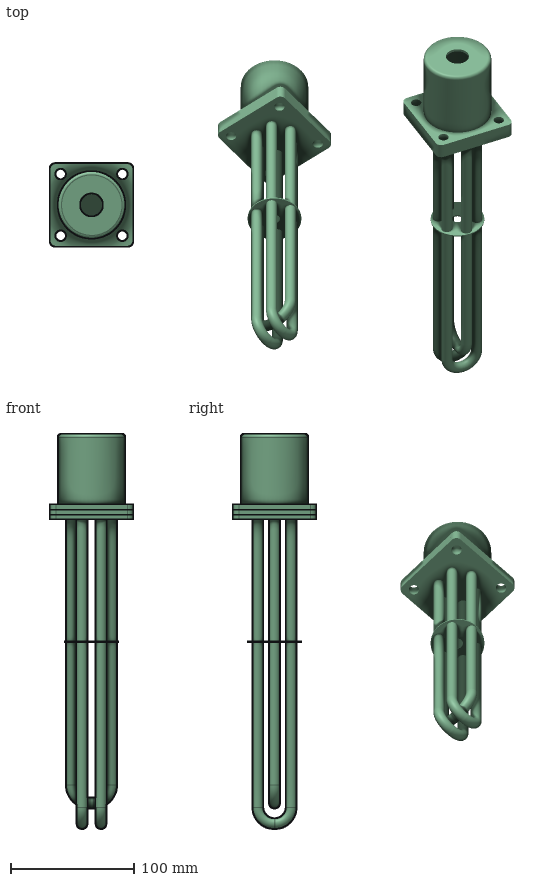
import cadquery as cq

TOTAL_HEIGHT = 321.5
FLANGE_SIDE = 68.0

FLANGE_CORNER_RADIUS = 4.8
BOLT_HOLE_PITCH = 50.0
BOLT_HOLE_DIAMETER = 8.5
BASE_PLATE_THICKNESS = 4.0
GASKET_THICKNESS = 4.0
TOP_PLATE_THICKNESS = 4.8

CAP_HEIGHT = 57.2
CAP_DIAMETER = 55.0
CAP_WALL = 2.3
CAP_TOP_FILLET = 3.0
CABLE_HOLE_DIAMETER = 18.5

ROD_DIAMETER = 9.0
LONG_HALF_SPAN = 13.5
LONG_BEND_RADIUS = 13.2
LONG_OFFSET = 7.7
SHORT_HALF_SPAN = 16.5
SHORT_BEND_RADIUS = 14.8
SHORT_BOTTOM = 16.7

DISC_DIAMETER = 43.7
DISC_THICKNESS = 1.0
DISC_BOTTOM = 151.8

CAP_BOTTOM = TOTAL_HEIGHT - CAP_HEIGHT
TOP_PLATE_BOTTOM = CAP_BOTTOM - TOP_PLATE_THICKNESS
GASKET_BOTTOM = TOP_PLATE_BOTTOM - GASKET_THICKNESS
BASE_PLATE_BOTTOM = GASKET_BOTTOM - BASE_PLATE_THICKNESS

LONG_ROD_POINTS = [
    (x, y) for x in (-LONG_OFFSET, LONG_OFFSET) for y in (-LONG_HALF_SPAN, LONG_HALF_SPAN)
]
SHORT_ROD_POINTS = [(-SHORT_HALF_SPAN, 0), (SHORT_HALF_SPAN, 0)]


def make_flange_layer(bottom, thickness):
    """Square plate with rounded corners and four bolt holes."""
    return (
        cq.Workplane("XY", origin=(0, 0, bottom))
        .rect(FLANGE_SIDE, FLANGE_SIDE)
        .extrude(thickness)
        .edges("|Z")
        .fillet(FLANGE_CORNER_RADIUS)
        .faces(">Z")
        .workplane(origin=(0, 0, 0))
        .rect(BOLT_HOLE_PITCH, BOLT_HOLE_PITCH, forConstruction=True)
        .vertices()
        .hole(BOLT_HOLE_DIAMETER)
    )


def make_cap():
    """Hollow cup with a rounded top rim and a central cable hole."""
    cup = (
        cq.Workplane("XY", origin=(0, 0, CAP_BOTTOM))
        .circle(CAP_DIAMETER / 2)
        .extrude(CAP_HEIGHT)
        .faces(">Z")
        .edges()
        .fillet(CAP_TOP_FILLET)
    )
    cavity = (
        cq.Workplane("XY", origin=(0, 0, CAP_BOTTOM))
        .circle(CAP_DIAMETER / 2 - CAP_WALL)
        .extrude(CAP_HEIGHT - CAP_WALL)
    )
    return cup.cut(cavity).faces(">Z").workplane(origin=(0, 0, 0)).hole(CABLE_HOLE_DIAMETER)


def make_rod(plane_name, origin, half_span, bend_radius, bottom):
    """U-shaped rod: two legs, two quarter bends and a short straight between them."""
    floor = bottom + ROD_DIAMETER / 2
    bend_start = floor + bend_radius
    straight_half = half_span - bend_radius
    path = (
        cq.Workplane(plane_name, origin=origin)
        .moveTo(-half_span, BASE_PLATE_BOTTOM)
        .lineTo(-half_span, bend_start)
        .tangentArcPoint((-straight_half, floor), relative=False)
        .lineTo(straight_half, floor)
        .tangentArcPoint((half_span, bend_start), relative=False)
        .lineTo(half_span, BASE_PLATE_BOTTOM)
    )
    leg_top = path.plane.toWorldCoords((-half_span, BASE_PLATE_BOTTOM))
    profile = cq.Workplane("XY", origin=leg_top.toTuple()).circle(ROD_DIAMETER / 2)
    return profile.sweep(path)


def make_long_rod(offset):
    return make_rod("YZ", (offset, 0, 0), LONG_HALF_SPAN, LONG_BEND_RADIUS, 0)


def make_short_rod():
    return make_rod("XZ", (0, 0, 0), SHORT_HALF_SPAN, SHORT_BEND_RADIUS, SHORT_BOTTOM)


def make_spacer_disc():
    """Thin disc with one hole for each rod leg and an equal hole in the centre."""
    return (
        cq.Workplane("XY", origin=(0, 0, DISC_BOTTOM))
        .circle(DISC_DIAMETER / 2)
        .extrude(DISC_THICKNESS)
        .faces(">Z")
        .workplane(origin=(0, 0, 0))
        .pushPoints([(0, 0)] + LONG_ROD_POINTS + SHORT_ROD_POINTS)
        .hole(ROD_DIAMETER)
    )


cap = make_cap()
top_plate = make_flange_layer(TOP_PLATE_BOTTOM, TOP_PLATE_THICKNESS)
gasket = make_flange_layer(GASKET_BOTTOM, GASKET_THICKNESS)
base_plate = make_flange_layer(BASE_PLATE_BOTTOM, BASE_PLATE_THICKNESS)
long_rods = [make_long_rod(offset) for offset in (-LONG_OFFSET, LONG_OFFSET)]
short_rod = make_short_rod()
spacer_disc = make_spacer_disc()

result = cq.Compound.makeCompound(
    [
        cap.val(),
        top_plate.val(),
        gasket.val(),
        base_plate.val(),
        *[rod.val() for rod in long_rods],
        short_rod.val(),
        spacer_disc.val(),
    ]
)